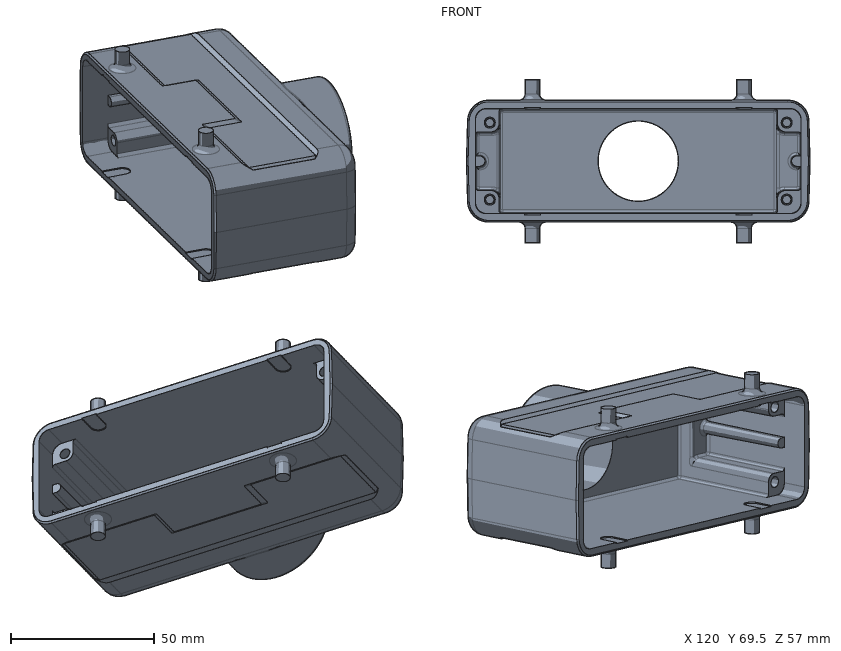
import cadquery as cq
import math

length = 120.0
height = 42.6
body_depth = 55.2
overall_depth = 69.5
half_length = length / 2
half_height = height / 2
end_draft = 1.5
corner_radius = 7.5
back_radius = 5.0
mouth_chamfer = 0.6

collar_diameter = 41.2
bore_diameter = 28.0
collar_rim_radius = 1.1
collar_foot_radius = 1.0

cavity_half_length = 56.9
cavity_half_height = 18.4
cavity_corner_radius = 3.8
cavity_draft = 0.5
floor_y = 51.6
shelf_y = 45.6
post_face_y = 9.5
post_inner_x = 48.7
post_inner_z = 10.3
post_corner_radius = 2.8
post_foot_radius = 1.1
floor_radius = 1.0

screw_x = 51.8
screw_z = 13.5
screw_mouth_diameter = 3.8
screw_end_diameter = 2.9
screw_depth = 14.4
rib_radius = 1.8
rib_tip_x = 53.5
rib_root_x = cavity_half_length

pin_x = 37.0
pin_y = 6.5
pin_diameter = 5.2
pin_tip_z = 57.0 / 2
pin_foot_radius = 2.2
groove_width = 5.6
groove_depth = 0.4

panel_depth = 1.0
panel_low_y = 15.0
panel_high_y = 40.5
panel_slope_width = 1.7
panel_flat_half_length = 55.2
panel_half_length = 56.6
panel_end_drop = 0.6
tab_half_width = 19.2
tab_high_y = 27.7
tab_corner_radius = 1.0


def plane_at(y):
    """Sketch plane at the given Y, extruding toward +Y."""
    return cq.Workplane(cq.Plane(origin=(0, y, 0), xDir=(1, 0, 0), normal=(0, 1, 0)))


def mirrored_in_z(shape):
    return shape.union(shape.mirror("XY"))


def make_shell():
    corner_x = half_length - half_height * math.tan(math.radians(end_draft))
    outline = [
        (half_length, 0),
        (corner_x, half_height),
        (-corner_x, half_height),
        (-half_length, 0),
        (-corner_x, -half_height),
        (corner_x, -half_height),
    ]
    body = plane_at(0).polyline(outline).close().extrude(body_depth)
    for side in (">Z", "<Z"):
        body = body.faces(side).edges("|Y").fillet(corner_radius)
    body = body.faces(">Y").edges().fillet(back_radius)
    return body.faces("<Y").edges().chamfer(mouth_chamfer)


def add_collar(body):
    inner_y = body_depth - back_radius
    collar = plane_at(inner_y).circle(collar_diameter / 2).extrude(overall_depth - inner_y)
    collar = collar.faces(">Y").edges().fillet(collar_rim_radius)
    joined = body.union(collar)
    reach = collar_diameter / 2 + 0.1
    foot = cq.selectors.BoxSelector(
        (-reach, inner_y - 1.2, -reach), (reach, body_depth + 0.1, reach), boundingbox=True
    )
    return joined.edges(foot).edges("not |X").fillet(collar_foot_radius)


def make_mouth():
    """Full-size cavity in front of the post faces."""
    outline = (
        cq.Sketch()
        .rect(2 * cavity_half_length, 2 * cavity_half_height)
        .vertices().fillet(cavity_corner_radius)
    )
    return plane_at(0).placeSketch(outline).extrude(post_face_y, taper=cavity_draft)


def tapered_pocket(half_x, half_z, end_y):
    """Rectangular cavity from the mouth plane to end_y, narrowing by the draft, with rounded corners."""
    block = plane_at(0).rect(2 * half_x, 2 * half_z).extrude(end_y, taper=cavity_draft)
    return block.edges("not #Y").fillet(post_foot_radius)


def make_ribs():
    """Round-nosed guide ribs, rooted inside the end walls."""
    return (
        plane_at(post_face_y)
        .pushPoints([(-rib_root_x, 0), (rib_root_x, 0)])
        .slot2D(2 * (rib_root_x - rib_tip_x), 2 * rib_radius)
        .extrude(shelf_y - post_face_y, taper=-cavity_draft)
    )


def make_cavity():
    """Cavity cutter: a deep middle, a shallower pocket between the posts at each end, and the mouth."""
    middle = tapered_pocket(post_inner_x, cavity_half_height, floor_y)
    middle = middle.faces(">Y").edges().fillet(floor_radius)
    pockets = tapered_pocket(cavity_half_length, post_inner_z, shelf_y).cut(make_ribs())
    cavity = middle.union(pockets)

    margin = 0.6
    post_corners = cq.selectors.BoxSelector(
        (-post_inner_x - margin, margin, -post_inner_z - margin),
        (post_inner_x + margin, shelf_y - margin, post_inner_z + margin),
    )
    cavity = cavity.edges(post_corners).fillet(post_corner_radius)
    shelf_outline = cq.selectors.BoxSelector(
        (-half_length, shelf_y - margin, -half_height),
        (half_length, shelf_y + margin, half_height),
        boundingbox=True,
    )
    cavity = cavity.edges(shelf_outline).fillet(floor_radius)
    return cavity.union(make_mouth())


def add_screw_holes(body):
    """Slightly tapered screw holes in the post faces."""
    points = [(x, z) for x in (-screw_x, screw_x) for z in (-screw_z, screw_z)]
    narrowing = (screw_mouth_diameter - screw_end_diameter) / 2
    taper = math.degrees(math.atan(narrowing / screw_depth))
    holes = (
        plane_at(post_face_y).pushPoints(points)
        .circle(screw_mouth_diameter / 2).extrude(screw_depth, taper=taper)
    )
    return body.cut(holes)


def make_pins():
    """Locking pins on the +Z wall, each a turned shape with a flared foot."""
    pin_radius = pin_diameter / 2
    foot_edge = pin_radius + pin_foot_radius
    arc_offset = pin_foot_radius * (1 - math.sqrt(0.5))
    root_z = (half_height + cavity_half_height) / 2
    profile = (
        cq.Workplane("XZ")
        .moveTo(0, root_z)
        .lineTo(foot_edge, root_z)
        .lineTo(foot_edge, half_height)
        .threePointArc(
            (pin_radius + arc_offset, half_height + arc_offset),
            (pin_radius, half_height + pin_foot_radius),
        )
        .lineTo(pin_radius, pin_tip_z)
        .lineTo(0, pin_tip_z)
        .close()
    )
    pin = profile.revolve(360, (0, 0, 0), (0, 1, 0))
    left = pin.translate((-pin_x, pin_y, 0))
    return left.union(pin.translate((pin_x, pin_y, 0)))


def make_grooves():
    """Round-ended grooves inside the +Z wall, running from the mouth to under each pin."""
    return (
        cq.Workplane("XY")
        .pushPoints([(-pin_x, 0), (pin_x, 0)])
        .slot2D(2 * pin_y + groove_width, groove_width, 90)
        .extrude(cavity_half_height + groove_depth)
    )


def panel_outline(z):
    """Corner points of the sunken panel at height z; all sloped sides spread outward as z rises."""
    floor_z = half_height - panel_depth
    spread = (z - floor_z) * panel_slope_width / panel_depth
    high = panel_high_y + spread
    low = panel_low_y - spread
    tab_x = tab_half_width - spread
    tab_y = tab_high_y - spread
    return [
        (-half_length, high),
        (half_length, high),
        (half_length, low),
        (tab_x, low),
        (tab_x, tab_y),
        (-tab_x, tab_y),
        (-tab_x, low),
        (-half_length, low),
    ]


def make_panel():
    """Cutter for the sunken panel on the +Z wall, with sloped sides around a raised tab."""
    floor_z = half_height - panel_depth
    end_z = floor_z - panel_end_drop
    clear_z = half_height + panel_depth
    sloped = (
        cq.Workplane("XY", origin=(0, 0, end_z))
        .polyline(panel_outline(end_z)).close()
        .workplane(offset=clear_z - end_z)
        .polyline(panel_outline(clear_z)).close()
        .loft(ruled=True)
    )
    tab_reach = 2 * tab_half_width
    tab_corners = cq.selectors.BoxSelector((-tab_reach, 0, end_z), (tab_reach, body_depth, clear_z))
    sloped = sloped.edges("not #Z").edges(tab_corners).fillet(tab_corner_radius)

    above_floor = (
        cq.Workplane("XZ")
        .moveTo(-panel_half_length, end_z)
        .lineTo(-panel_flat_half_length, floor_z)
        .lineTo(panel_flat_half_length, floor_z)
        .lineTo(panel_half_length, end_z)
        .lineTo(panel_half_length, clear_z)
        .lineTo(-panel_half_length, clear_z)
        .close()
        .extrude(-body_depth)
    )
    return sloped.intersect(above_floor)


hood = add_collar(make_shell())
hood = hood.cut(mirrored_in_z(make_panel()))
hood = hood.union(mirrored_in_z(make_pins()))
hood = hood.cut(make_cavity())
hood = hood.cut(mirrored_in_z(make_grooves()))
bore = plane_at(0).circle(bore_diameter / 2).extrude(overall_depth)
hood = hood.cut(bore)
result = add_screw_holes(hood)